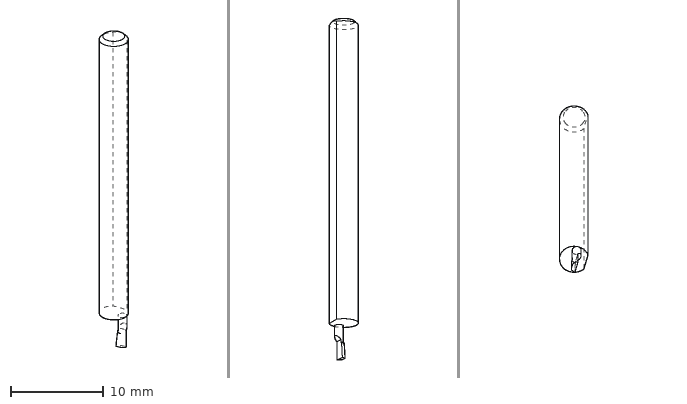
import cadquery as cq

shank_diameter = 3.175
shank_radius = shank_diameter / 2
total_length = 38.1
neck_length = 3.81
top_chamfer = 0.4
flat_distance = 1.3325

neck_diameter = 0.98
neck_radius = neck_diameter / 2
neck_axis_x = shank_radius - neck_radius

runout_start = 2.13

head_height = 1.8
head_lean = 0.2
tip_x = 0.31
heel_x = 0.51
heel_y = -0.455
sole_x = 0.68

end_relief_x = 2.0
end_relief_y = 5.0


def make_shank():
    """Round shank with a chamfered top end and a full-length flat."""
    shank_length = total_length - neck_length
    shank = (
        cq.Workplane("XY", origin=(0, 0, neck_length))
        .circle(shank_radius)
        .extrude(shank_length)
        .faces(">Z")
        .chamfer(top_chamfer)
    )
    beyond_flat = (
        cq.Workplane("XY", origin=(0, flat_distance, neck_length))
        .rect(shank_diameter, shank_diameter)
        .extrude(shank_length)
        .translate((0, shank_radius, 0))
    )
    return shank.cut(beyond_flat)


def make_neck():
    """Neck bar with its +Y half removed below the sloped run-out."""
    neck = cq.Workplane("XY").center(neck_axis_x, 0).circle(neck_radius).extrude(neck_length)
    rake_cut = (
        cq.Workplane("YZ")
        .polyline([
            (0, 0),
            (neck_diameter, 0),
            (neck_diameter, runout_start + neck_diameter),
            (0, runout_start),
        ])
        .close()
        .extrude(shank_diameter)
    )
    return neck.cut(rake_cut)


def head_section(plane, shift):
    """Head outline: rake line, flank, heel and the sole tangent to the neck."""
    return plane.polyline([
        (neck_axis_x, 0),
        (tip_x + shift, 0),
        (heel_x + shift, heel_y),
        (sole_x + shift, -neck_radius),
        (neck_axis_x, -neck_radius),
    ]).close()


def make_head():
    """Tapered head lofted from the tip section to the section at its upper end."""
    lower = head_section(cq.Workplane("XY"), 0)
    return head_section(lower.workplane(offset=head_height), head_lean).loft(ruled=True)


def make_end_relief():
    """Block whose tilted top face trims the bottom of the neck and the head."""
    block_size = shank_diameter
    return (
        cq.Workplane("XY")
        .box(2 * block_size, 2 * block_size, block_size)
        .translate((0, 0, -block_size / 2))
        .rotate((0, 0, 0), (1, 0, 0), -end_relief_y)
        .rotate((0, 0, 0), (0, 1, 0), -end_relief_x)
        .translate((tip_x, 0, 0))
    )


cutting_end = make_neck().union(make_head()).cut(make_end_relief())
result = make_shank().union(cutting_end)